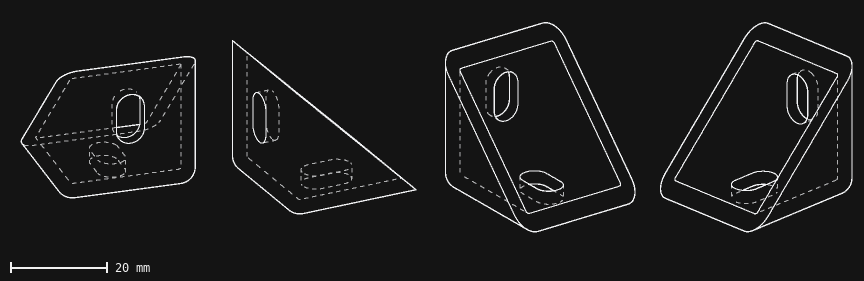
import cadquery as cq

SIZE = 30.0
WALL = 3.0
OUTER_RADIUS = 3.5
INNER_RADIUS = 0.5

SLOT_LENGTH = 11.0
SLOT_WIDTH = 6.0
FLOOR_SLOT_FROM_BACK = 15.5
BACK_SLOT_FROM_FLOOR = 17.5

HALF = SIZE / 2
LONG = 2 * SIZE
CUT_REACH = 2 * WALL


def rounded_block(inset, radius):
    """Block set in from the floor, back and side faces, running past the sloping face.

    Every edge around the floor and back faces that the part keeps is rounded.
    """
    return (
        cq.Workplane("XY")
        .box(LONG, SIZE - 2 * inset, LONG)
        .translate((HALF - inset - LONG / 2, 0, inset + LONG / 2))
        .edges("(|X and <Z) or (|Z and >X) or (|Y and >X and <Z)")
        .fillet(radius)
    )


def triangle():
    """Right-angled prism whose sloping face runs from the floor edge to the back's top edge."""
    return (
        cq.Workplane("XZ")
        .polyline([(-HALF, 0), (HALF, 0), (HALF, SIZE)])
        .close()
        .extrude(HALF, both=True)
    )


def floor_slot():
    """Slot through the floor, running along X."""
    return (
        cq.Workplane("XY", origin=(HALF - FLOOR_SLOT_FROM_BACK, 0, 0))
        .slot2D(SLOT_LENGTH, SLOT_WIDTH)
        .extrude(CUT_REACH, both=True)
    )


def back_slot():
    """Slot through the back wall, running along Z."""
    return (
        cq.Workplane("YZ", origin=(HALF, 0, BACK_SLOT_FROM_FLOOR))
        .slot2D(SLOT_LENGTH, SLOT_WIDTH, 90)
        .extrude(CUT_REACH, both=True)
    )


body = rounded_block(0, OUTER_RADIUS).intersect(triangle())
cavity = rounded_block(WALL, INNER_RADIUS)

result = body.cut(cavity).cut(floor_slot()).cut(back_slot())